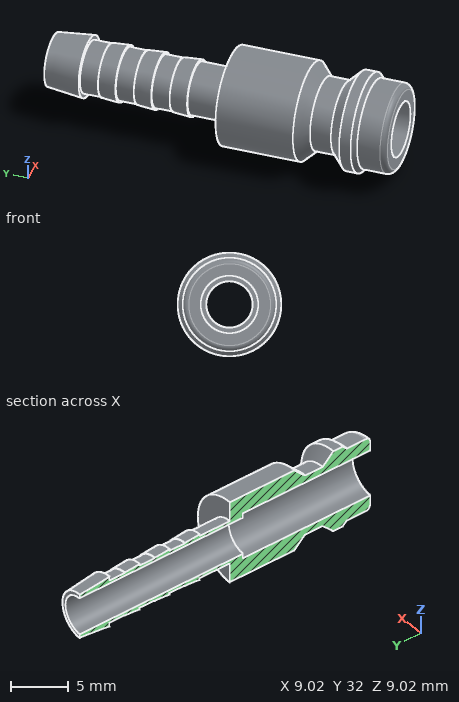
import cadquery as cq

total_length = 32.0
body_diameter = 9.02

nose_diameter = 8.13
nose_length = 2.6
nose_fillet = 0.5
collar_front_chamfer = (body_diameter - nose_diameter) / 2
collar_length = 1.05
neck_diameter = 6.7
neck_length = 1.92
neck_slope = (body_diameter - neck_diameter) / 2
shoulder_place = 15.5

stem_diameter = 4.8
tip_diameter = 4.9
tip_barb_diameter = 5.63
ring_small_diameter = 4.9
ring_barb_diameter = 5.15
ring_count = 3
barb_pitch = (total_length - shoulder_place) / (ring_count + 2)
ring_length = barb_pitch / 2

bore_diameter = 4.0
plug_bore_diameter = 5.0
plug_bore_depth = 14.0


def cone(start, length, start_diameter, end_diameter):
    """Solid cone or cylinder along Y, from start towards +Y."""
    outline = [
        (0, start),
        (start_diameter / 2, start),
        (end_diameter / 2, start + length),
        (0, start + length),
    ]
    return cq.Workplane("XY").polyline(outline).close().revolve(360, (0, 0), (0, 1))


def cylinder(start, length, diameter):
    return cone(start, length, diameter, diameter)


def plug_end():
    """Nose, collar, neck and body, turned from one outline."""
    collar_start = nose_length + collar_front_chamfer
    collar_end = collar_start + collar_length
    neck_start = collar_end + neck_slope
    neck_end = neck_start + neck_length
    outline = [
        (0, 0),
        (nose_diameter / 2, 0),
        (nose_diameter / 2, nose_length),
        (body_diameter / 2, collar_start),
        (body_diameter / 2, collar_end),
        (neck_diameter / 2, neck_start),
        (neck_diameter / 2, neck_end),
        (body_diameter / 2, neck_end + neck_slope),
        (body_diameter / 2, shoulder_place),
        (0, shoulder_place),
    ]
    plug = cq.Workplane("XY").polyline(outline).close().revolve(360, (0, 0), (0, 1))
    return plug.faces("<Y").edges().fillet(nose_fillet)


def hose_stem():
    """Stem with barbs that widen towards the body."""
    stem = cylinder(shoulder_place, total_length - shoulder_place, stem_diameter)
    for ring in range(1, ring_count + 1):
        ring_start = shoulder_place + ring * barb_pitch
        stem = stem.union(cone(ring_start, ring_length, ring_barb_diameter, ring_small_diameter))
    tip_start = total_length - barb_pitch
    return stem.union(cone(tip_start, barb_pitch, tip_barb_diameter, tip_diameter))


result = (
    plug_end()
    .union(hose_stem())
    .cut(cylinder(0, total_length, bore_diameter))
    .cut(cylinder(0, plug_bore_depth, plug_bore_diameter))
    .translate((0, -total_length / 2, 0))
)